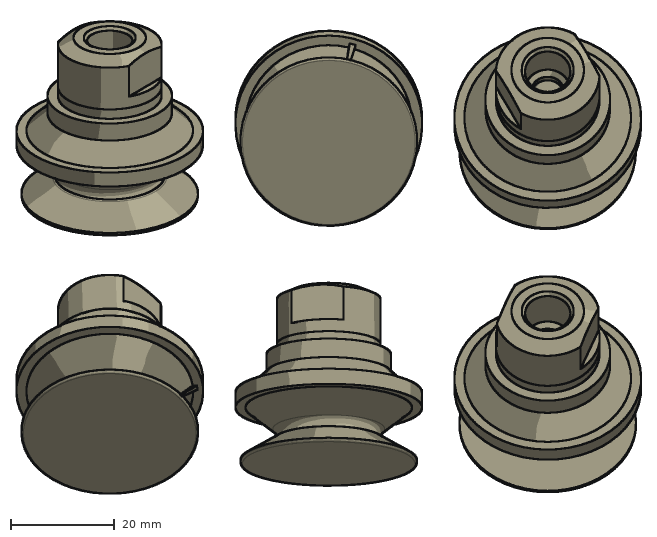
import cadquery as cq

total_height = 34.2
joint_z = 23.75

fitting_radius = 10.0
top_face_radius = 7.0
top_chamfer_height = 1.45
flat_bottom_z = 26.17
flat_half_width = 8.55
bore_radius = 4.35
bore_mouth_radius = 5.0
bore_depth = 8.28
pilot_radius = 3.15
bore_cone_height = 0.72

neck_radius = fitting_radius
collar_radius = 12.02
collar_top_z = 21.75
collar_bottom_z = 18.07
disc_radius = 18.0
disc_top_z = 14.2
disc_bottom_z = 11.15
cone_radius = 16.05
waist_radius = 10.22
waist_z = 5.75
waist_top = (10.8, 6.88)
waist_bottom = (10.62, 4.68)
lip_cone_top = (11.05, 4.43)
lip_radius = 17.03
lip_top_z = 0.7
lip_round = 0.4

rib_angle = 40.0
rib_bottom_z = 9.15
rib_top_radius = 16.9
rib_bottom_radius = 13.75
rib_top_width = 1.2
rib_bottom_width = 0.65
rib_root_depth = 1.45


def make_fitting():
    plug = (
        cq.Workplane("XZ")
        .moveTo(0, joint_z)
        .lineTo(fitting_radius, joint_z)
        .lineTo(fitting_radius, total_height - top_chamfer_height)
        .lineTo(top_face_radius, total_height)
        .lineTo(0, total_height)
        .close()
        .revolve(360, (0, 0, 0), (0, 1, 0))
    )
    return cut_axial_hole(cut_wrench_flats(plug))


def cut_wrench_flats(plug):
    cut_width = fitting_radius
    for side in (-1, 1):
        cutter = (
            cq.Workplane("XY", origin=(0, 0, flat_bottom_z))
            .center(side * (flat_half_width + cut_width / 2), 0)
            .rect(cut_width, 2 * fitting_radius)
            .extrude(total_height - flat_bottom_z)
        )
        plug = plug.cut(cutter)
    return plug


def cut_axial_hole(plug):
    """Cut the 45 degree mouth, the bore, its cone and the narrower pilot hole."""
    bore_bottom_z = total_height - bore_depth
    mouth_depth = bore_mouth_radius - bore_radius
    hole = (
        cq.Workplane("XZ")
        .moveTo(0, joint_z)
        .lineTo(pilot_radius, joint_z)
        .lineTo(pilot_radius, bore_bottom_z - bore_cone_height)
        .lineTo(bore_radius, bore_bottom_z)
        .lineTo(bore_radius, total_height - mouth_depth)
        .lineTo(bore_mouth_radius, total_height)
        .lineTo(0, total_height)
        .close()
        .revolve(360, (0, 0, 0), (0, 1, 0))
    )
    return plug.cut(hole)


def make_cup():
    body = (
        cq.Workplane("XZ")
        .moveTo(0, 0)
        .lineTo(lip_radius - lip_round, 0)
        .radiusArc((lip_radius, lip_round), -lip_round)
        .lineTo(lip_radius, lip_top_z)
        .lineTo(*lip_cone_top)
        .lineTo(*waist_bottom)
        .threePointArc((waist_radius, waist_z), waist_top)
        .lineTo(cone_radius, disc_bottom_z)
        .lineTo(disc_radius, disc_bottom_z)
        .lineTo(disc_radius, disc_top_z)
        .lineTo(cone_radius, disc_top_z)
        .lineTo(collar_radius, collar_bottom_z)
        .lineTo(collar_radius, collar_top_z)
        .lineTo(neck_radius, collar_top_z)
        .lineTo(neck_radius, joint_z)
        .lineTo(0, joint_z)
        .close()
        .revolve(360, (0, 0, 0), (0, 1, 0))
    )
    return body.union(make_rib())


def make_rib():
    """Rib on the lower cone, growing in width and height up to the disc."""
    rise = disc_bottom_z - rib_bottom_z
    rib = (
        cq.Workplane("XY", origin=(0, 0, rib_bottom_z))
        .center(rib_root_depth / 2 - rib_bottom_radius, 0)
        .rect(rib_root_depth, rib_bottom_width)
        .workplane(offset=rise)
        .center(rib_bottom_radius - rib_top_radius, 0)
        .rect(rib_root_depth, rib_top_width)
        .loft(ruled=True)
    )
    return rib.rotate((0, 0, 0), (0, 0, 1), rib_angle)


fitting = make_fitting()
cup = make_cup()

result = cq.Compound.makeCompound([fitting.solids().val(), cup.solids().val()])